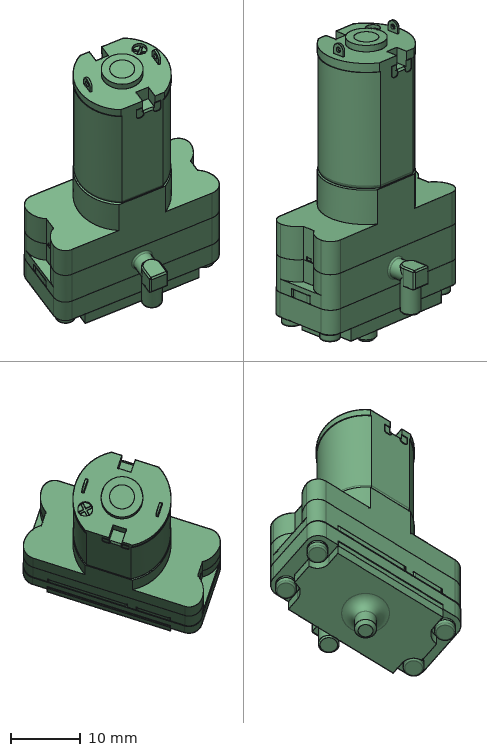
import cadquery as cq
import math

nozzle_shoulder_z = 2.65
plate_bottom_z = 4.5
head_bottom_z = 6.45
valve_bottom_z = 10.35
valve_ledge_z = 12.45
gear_bottom_z = 15.95
gear_top_z = 21.15
can_bottom_z = 26.55
cap_bottom_z = 45.05
cap_top_z = 46.5
boss_top_z = 47.55
terminal_top_z = 48.3

pump_left_x = -6.1
pump_right_x = 5.95
pump_center_x = (pump_left_x + pump_right_x) / 2
pump_width = pump_right_x - pump_left_x
pump_length = 26.9
corner_radius = 2.0
head_overhang = 0.1

notch_depth = 1.65
lobe_radius = 3.57
lobe_offset_x = 4.05
vent_width = 0.95
vent_height = 0.6
vent_depth = 0.3

tongue_height = 1.3
tongue_depth = 1.2
end_tongue_width = 3.7
end_tongue_setback = 0.05
end_tongue_round = 0.65
side_tongue_round = 0.4
side_tongue_spans = ((-2.75, 9.25), (-9.25, -4.1))

tube_radius = 1.5
elbow_x = 8.85
elbow_z = 13.05
elbow_right_x = 11.05
elbow_leg_bottom_z = 7.05
elbow_edge_chamfer = 0.25
port_fillet = 0.25

screw_offset_x = 3.8
screw_offset_y = 11.35
screw_radius = 1.5
screw_pad_height = 0.45
screw_bottom_z = 4.97
screw_edge = 0.25

screw_clearance = 2.05
plate_half_length = screw_offset_y - screw_clearance
plate_tab_length = 2 * screw_offset_y
plate_recess_top_z = 7.6
nozzle_radius = 1.6
nozzle_tip_chamfer = 0.55

cap_radius = 7.05
can_radius = 6.95
motor_flat_x = 6.1
can_fillet = 0.6
boss_radius = 3.0
shaft_radius = 1.8
key_slot_width = 2.05
key_slot_floor_x = 4.1
key_slot_bottom_z = 44.1
window_depth = 0.1
window_width = 1.2
window_bottom_z = 43.2
window_corner = 0.5
window_overlap = 0.215
lip_chamfer = 0.3
terminal_y = 5.6
terminal_width = 1.9
terminal_thickness = 0.35
terminal_hole_radius = 0.4
set_screw_x = -3.1
set_screw_y = 4.55
set_screw_radius = 1.05
set_screw_depth = 0.55
cross_width = 0.35
cross_depth = 0.3

cut_margin = 0.5


def box(x0, x1, y0, y1, z0, z1):
    """Axis-aligned box between the given limits."""
    return cq.Workplane("XY").box(x1 - x0, y1 - y0, z1 - z0, centered=False).translate((x0, y0, z0))


def cylinder(x, y, radius, z0, z1):
    """Upright cylinder between two heights."""
    return cq.Workplane("XY").workplane(offset=z0).center(x, y).circle(radius).extrude(z1 - z0)


def flatted_cylinder(radius, right_x, z0, z1):
    """Round bar on the motor axis with a flat on each X side."""
    return cylinder(0, 0, radius, z0, z1).intersect(box(-motor_flat_x, right_x, -radius, radius, z0, z1))


def rounded_block(left_x, z0, z1):
    """Pump layer with rounded upright corners."""
    block = box(left_x, pump_right_x, -pump_length / 2, pump_length / 2, z0, z1)
    return block.edges("|Z").fillet(corner_radius)


def end_notch(side, z0, z1):
    """Cutter for the notch between the two lobes at one Y end."""
    end_y = pump_length / 2
    lobe_y = end_y - lobe_radius
    floor_y = end_y - notch_depth
    cutter = box(-lobe_offset_x, lobe_offset_x, floor_y, end_y + cut_margin, z0, z1)
    for lobe_side in (-1, 1):
        cutter = cutter.cut(cylinder(lobe_side * lobe_offset_x, lobe_y, lobe_radius, z0, z1))
    cutter = cutter.translate((pump_center_x, 0, 0))
    return cutter if side > 0 else cutter.mirror("XZ")


def make_motor():
    """Can with its end cap, bearing boss and solder tags in one piece."""
    can = flatted_cylinder(can_radius, motor_flat_x, can_bottom_z, cap_bottom_z)
    can = can.faces("<Z").edges().fillet(can_fillet)
    motor = can.union(flatted_cylinder(cap_radius, motor_flat_x, cap_bottom_z, cap_top_z))
    motor = motor.union(cylinder(0, 0, boss_radius, cap_top_z, boss_top_z))
    motor = motor.cut(cylinder(0, 0, shaft_radius, cap_top_z, boss_top_z))
    key = make_key_cutter()
    motor = motor.cut(key).cut(key.rotate((0, 0, 0), (0, 0, 1), 180))
    motor = motor.cut(make_set_screw_cutter())
    for side in (-1, 1):
        motor = motor.union(make_terminal(side * terminal_y))
    return motor


def make_key_cutter():
    """Slot, lip chamfer and two shallow windows on the -X flat of the motor."""
    wall_x = -motor_flat_x
    slot = box(wall_x - cut_margin, -key_slot_floor_x, -key_slot_width, 0, key_slot_bottom_z, cap_top_z)
    lip_half = key_slot_width / 2 - window_overlap
    middle_y = -key_slot_width / 2
    lip = (
        cq.Workplane("XZ", origin=(0, middle_y + lip_half, 0))
        .moveTo(wall_x, key_slot_bottom_z)
        .lineTo(wall_x + lip_chamfer, key_slot_bottom_z)
        .lineTo(wall_x, key_slot_bottom_z - lip_chamfer)
        .close()
        .extrude(2 * lip_half)
    )
    cutter = slot.union(lip)
    for side in (-1, 1):
        window_y = middle_y + side * (lip_half + window_width / 2)
        window = box(
            wall_x, wall_x + window_depth,
            window_y - window_width / 2, window_y + window_width / 2,
            window_bottom_z, cap_bottom_z,
        )
        cutter = cutter.union(window.edges("|X and <Z").fillet(window_corner))
    return cutter


def make_set_screw_cutter():
    """Round well with a diagonal cross cut in its floor."""
    floor_z = cap_top_z - set_screw_depth
    cross_floor_z = floor_z - cross_depth
    cutter = cylinder(0, 0, set_screw_radius, floor_z, cap_top_z)
    for angle in (45, -45):
        arm = box(
            -set_screw_radius, set_screw_radius, -cross_width / 2, cross_width / 2, cross_floor_z, floor_z
        )
        arm = arm.intersect(cylinder(0, 0, set_screw_radius, cross_floor_z, floor_z))
        cutter = cutter.union(arm.rotate((0, 0, 0), (0, 0, 1), angle))
    return cutter.translate((set_screw_x, set_screw_y, 0))


def make_terminal(y):
    """Round-topped solder tag with a hole."""
    radius = terminal_width / 2
    eye_z = terminal_top_z - radius
    return (
        cq.Workplane("XZ", origin=(0, y + terminal_thickness / 2, 0))
        .moveTo(-radius, cap_top_z)
        .lineTo(radius, cap_top_z)
        .lineTo(radius, eye_z)
        .threePointArc((0, terminal_top_z), (-radius, eye_z))
        .close()
        .moveTo(0, eye_z)
        .circle(terminal_hole_radius)
        .extrude(terminal_thickness)
    )


def make_shaft():
    """Shaft end, flush with the top of the bearing boss."""
    return cylinder(0, 0, shaft_radius, cap_top_z, boss_top_z)


def make_gear_housing():
    """Upper pump layer with the neck that carries the motor."""
    housing = rounded_block(pump_left_x, gear_bottom_z, gear_top_z)
    housing = housing.union(flatted_cylinder(cap_radius, pump_right_x, gear_top_z, can_bottom_z))
    for side in (-1, 1):
        housing = housing.cut(end_notch(side, gear_bottom_z, gear_top_z))
    notch_floor_y = -pump_length / 2 + notch_depth
    vent = box(
        pump_center_x - vent_width / 2, pump_center_x + vent_width / 2,
        notch_floor_y, notch_floor_y + vent_depth,
        gear_bottom_z, gear_bottom_z + vent_height,
    )
    return housing.cut(vent)


def end_tongue(setback):
    """Square block for the tongue, or its pocket, on the -Y end."""
    end_y = -pump_length / 2
    return box(
        pump_center_x - end_tongue_width / 2, pump_center_x + end_tongue_width / 2,
        end_y + setback, end_y + tongue_depth,
        valve_bottom_z, valve_bottom_z + tongue_height,
    )


def side_tongue(y0, y1):
    """Square block for a tongue, or its pocket, on the -X side."""
    return box(
        pump_left_x, pump_left_x + tongue_depth,
        y0, y1,
        valve_bottom_z, valve_bottom_z + tongue_height,
    )


def make_valve_block():
    """Middle pump layer with the elbow port."""
    block = rounded_block(pump_left_x, valve_bottom_z, gear_bottom_z)
    for side in (-1, 1):
        block = block.cut(end_notch(side, valve_ledge_z, gear_bottom_z))
    block = block.cut(end_tongue(0))
    for y0, y1 in side_tongue_spans:
        block = block.cut(side_tongue(y0, y1))
    return block.union(make_elbow())


def make_elbow():
    """Sideways tube with a flared root, turning down at a squared-off corner."""
    top_z = elbow_z + tube_radius
    tube = (
        cq.Workplane("YZ", origin=(pump_right_x, 0, elbow_z))
        .circle(tube_radius)
        .extrude(elbow_x - pump_right_x)
    )
    root = (
        cq.Workplane("XZ", origin=(0, 0, elbow_z))
        .moveTo(pump_right_x, 0)
        .lineTo(pump_right_x, tube_radius + port_fillet)
        .radiusArc((pump_right_x + port_fillet, tube_radius), -port_fillet)
        .lineTo(pump_right_x + port_fillet, 0)
        .close()
        .revolve(360, (pump_right_x, 0, 0), (pump_right_x + 0.5, 0, 0))
    )
    leg = cylinder(elbow_x, 0, tube_radius, elbow_leg_bottom_z, elbow_z)
    leg = leg.faces("<Z").edges().chamfer(elbow_edge_chamfer)
    corner = (
        cq.Workplane("XY", origin=(0, 0, elbow_z - tube_radius))
        .moveTo(elbow_x, tube_radius)
        .threePointArc((elbow_x - tube_radius, 0), (elbow_x, -tube_radius))
        .lineTo(elbow_right_x, -tube_radius)
        .lineTo(elbow_right_x, tube_radius)
        .close()
        .extrude(2 * tube_radius)
    )
    corner = corner.edges(">Z or >X or (|Z and >X)").chamfer(elbow_edge_chamfer)
    return tube.union(root).union(leg).union(corner)


def screw_places():
    """Screw centers as (x, y)."""
    return [
        (pump_center_x + sx * screw_offset_x, sy * screw_offset_y)
        for sx in (-1, 1)
        for sy in (-1, 1)
    ]


def make_head_block():
    """Lower pump layer with its tongues, plate recess and screw pads."""
    head = rounded_block(pump_left_x - head_overhang, head_bottom_z, valve_bottom_z)
    plate_recess = box(
        pump_left_x - head_overhang, pump_left_x,
        -plate_half_length, plate_half_length,
        head_bottom_z, plate_recess_top_z,
    )
    head = head.cut(plate_recess)
    for x, y in screw_places():
        head = head.union(cylinder(x, y, screw_radius, head_bottom_z - screw_pad_height, head_bottom_z))
    head = head.union(end_tongue(end_tongue_setback).edges("|Z and <Y").fillet(end_tongue_round))
    for y0, y1 in side_tongue_spans:
        head = head.union(side_tongue(y0, y1).edges("|Z and <X").fillet(side_tongue_round))
    return head


def make_plate():
    """Bottom plate, relieved around the four screws, with the flared nozzle."""
    plate = box(
        pump_left_x, pump_right_x, -plate_tab_length / 2, plate_tab_length / 2, plate_bottom_z, head_bottom_z
    )
    relief_length = pump_width / 2
    for x, y in screw_places():
        plate = plate.cut(cylinder(x, y, screw_clearance, plate_bottom_z, head_bottom_z))
        corner_x = x + math.copysign(relief_length / 2, x)
        corner_relief = (
            cq.Workplane("XY", origin=(corner_x, y, plate_bottom_z))
            .rect(relief_length, 2 * screw_clearance)
            .extrude(head_bottom_z - plate_bottom_z)
        )
        plate = plate.cut(corner_relief)
    flare = plate_bottom_z - nozzle_shoulder_z
    nozzle = (
        cq.Workplane("XZ", origin=(pump_center_x, 0, 0))
        .lineTo(nozzle_radius - nozzle_tip_chamfer, 0)
        .lineTo(nozzle_radius, nozzle_tip_chamfer)
        .lineTo(nozzle_radius, nozzle_shoulder_z)
        .radiusArc((nozzle_radius + flare, plate_bottom_z), flare)
        .lineTo(0, plate_bottom_z)
        .close()
        .revolve(360, (0, 0, 0), (0, 1, 0))
    )
    return plate.union(nozzle)


def make_screw(x, y):
    """Screw head resting on its pad."""
    screw = cylinder(x, y, screw_radius, screw_bottom_z, head_bottom_z - screw_pad_height)
    return screw.faces("<Z").edges().fillet(screw_edge)


motor = make_motor()
shaft = make_shaft()
gear_housing = make_gear_housing()
valve_block = make_valve_block()
head_block = make_head_block()
plate = make_plate()
screws = [make_screw(x, y).val() for x, y in screw_places()]

result = cq.Compound.makeCompound([
    motor.val(), shaft.val(), gear_housing.val(), valve_block.val(), head_block.val(), plate.val(), *screws
])